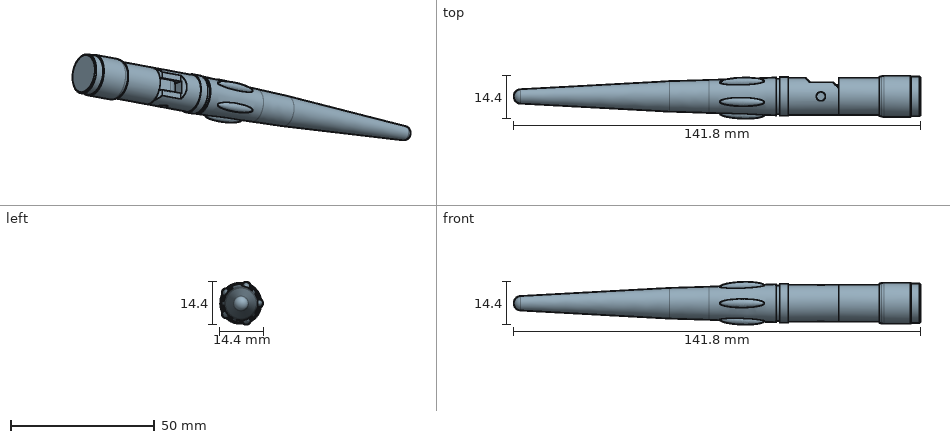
import cadquery as cq
import math

TOTAL_LENGTH = 141.8

TIP_LENGTH = 2.3
TIP_RADIUS = 2.5
TAPER_BREAK_X = 54.3
TAPER_BREAK_RADIUS = 5.4
GRIP_START_X = 68.0
GRIP_START_RADIUS = 5.8
GRIP_END_RADIUS = 6.7

GROOVE_X = 91.5
GROOVE_RADIUS = 6.2
COLLAR_X = 92.8
COLLAR_RADIUS = 6.8
BARREL_X = 95.7
BARREL_RADIUS = 6.5

FLUTE_COUNT = 5
FLUTE_START_X = 71.9
FLUTE_END_X = 87.4
FLUTE_DEPTH = 1.5

HINGE_PLANE_X = 113.3
PIN_X = 107.1
PIN_RADIUS = 1.5
PIN_LENGTH = 12.8
TONGUE_RADIUS = 4.1
TONGUE_THICKNESS = 4.3

RELIEF_START_X = 101.7
RELIEF_Y = 5.0
RELIEF_DROP_X = 111.3

CAP_STEP_X = 127.4
CAP_STEP_RADIUS = 6.8
CAP_SHOULDER_X = 128.2
CAP_SHOULDER_RADIUS = 7.1
CAP_X = 129.0
CAP_RADIUS = 7.2
END_BAND_X = 138.5
END_BAND_STEP = 0.3
END_BAND_RADIUS = 7.0
END_CHAMFER = 0.4


def grip_radius(x):
    """Radius of the conical grip at a position along the axis."""
    fraction = (x - GRIP_START_X) / (GROOVE_X - GRIP_START_X)
    return GRIP_START_RADIUS + fraction * (GRIP_END_RADIUS - GRIP_START_RADIUS)


def turned(profile):
    """Revolve a closed half profile in the XZ plane about the X axis."""
    return profile.close().revolve(360, (0, 0, 0), (1, 0, 0))


def handle_blank():
    sphere_radius = (TIP_LENGTH**2 + TIP_RADIUS**2) / (2 * TIP_LENGTH)
    half_angle = math.acos(1 - TIP_LENGTH / sphere_radius) / 2
    tip_middle = (sphere_radius * (1 - math.cos(half_angle)), sphere_radius * math.sin(half_angle))
    return turned(
        cq.Workplane("XZ")
        .moveTo(0, 0)
        .threePointArc(tip_middle, (TIP_LENGTH, TIP_RADIUS))
        .lineTo(TAPER_BREAK_X, TAPER_BREAK_RADIUS)
        .lineTo(GRIP_START_X, GRIP_START_RADIUS)
        .lineTo(GROOVE_X, GRIP_END_RADIUS)
        .lineTo(GROOVE_X, GROOVE_RADIUS)
        .lineTo(COLLAR_X, GROOVE_RADIUS)
        .lineTo(COLLAR_X, COLLAR_RADIUS)
        .lineTo(BARREL_X, COLLAR_RADIUS)
        .lineTo(BARREL_X, BARREL_RADIUS)
        .lineTo(HINGE_PLANE_X, BARREL_RADIUS)
        .lineTo(HINGE_PLANE_X, 0)
    )


def flute_cutter():
    """Slender ellipsoid whose long axis joins two points on the -Y side of the grip surface."""
    start = cq.Vector(FLUTE_START_X, -grip_radius(FLUTE_START_X), 0)
    end = cq.Vector(FLUTE_END_X, -grip_radius(FLUTE_END_X), 0)
    half_length = (end - start).Length / 2
    plane = cq.Plane(origin=(start + end) / 2, xDir=end - start, normal=(0, 0, 1))
    return (
        cq.Workplane(plane)
        .ellipseArc(half_length, FLUTE_DEPTH, 0, 180, startAtCurrent=False)
        .close()
        .revolve(360, (0, 0, 0), (1, 0, 0))
    )


def fork_relief():
    """Prism that clears the +Y side of the fork, with 45 degree ends."""
    entry_slope = BARREL_RADIUS - RELIEF_Y
    exit_drop = HINGE_PLANE_X - RELIEF_DROP_X
    return (
        cq.Workplane("XY")
        .polyline([
            (RELIEF_START_X, BARREL_RADIUS),
            (RELIEF_START_X + entry_slope, RELIEF_Y),
            (RELIEF_DROP_X, RELIEF_Y),
            (HINGE_PLANE_X, RELIEF_Y - exit_drop),
            (HINGE_PLANE_X, BARREL_RADIUS),
        ])
        .close()
        .extrude(BARREL_RADIUS, both=True)
    )


def hinge_tongue():
    """Flat tongue with a round end about the pin axis."""
    return (
        cq.Workplane("XY")
        .moveTo(HINGE_PLANE_X, -TONGUE_RADIUS)
        .lineTo(PIN_X, -TONGUE_RADIUS)
        .threePointArc((PIN_X - TONGUE_RADIUS, 0), (PIN_X, TONGUE_RADIUS))
        .lineTo(HINGE_PLANE_X, TONGUE_RADIUS)
        .close()
        .extrude(TONGUE_THICKNESS / 2, both=True)
    )


def hinge_pin():
    """Pin through the tongue, its flat ends just inside the barrel surface."""
    return cq.Workplane("XY").center(PIN_X, 0).circle(PIN_RADIUS).extrude(PIN_LENGTH / 2, both=True)


def slot_opening():
    """Space above the tongue that opens the fork slot to the +Y side."""
    slot_start_x = PIN_X - TONGUE_RADIUS
    slot_length = HINGE_PLANE_X - slot_start_x
    return (
        cq.Workplane("XY", origin=(slot_start_x, 0, 0))
        .box(slot_length, BARREL_RADIUS, TONGUE_THICKNESS, centered=(False, False, True))
    )


def make_handle():
    handle = handle_blank()
    for index in range(FLUTE_COUNT):
        angle = index * 360 / FLUTE_COUNT
        handle = handle.cut(flute_cutter().rotate((0, 0, 0), (1, 0, 0), angle))
    pin_hole = cq.Workplane("XY").center(PIN_X, 0).circle(PIN_RADIUS).extrude(BARREL_RADIUS, both=True)
    fork_cuts = fork_relief().union(hinge_tongue()).union(slot_opening()).union(pin_hole)
    return handle.cut(fork_cuts)


def make_tail():
    tail = turned(
        cq.Workplane("XZ")
        .moveTo(HINGE_PLANE_X, 0)
        .lineTo(HINGE_PLANE_X, BARREL_RADIUS)
        .lineTo(CAP_STEP_X, BARREL_RADIUS)
        .lineTo(CAP_STEP_X, CAP_STEP_RADIUS)
        .lineTo(CAP_SHOULDER_X, CAP_SHOULDER_RADIUS)
        .lineTo(CAP_X, CAP_RADIUS)
        .lineTo(END_BAND_X - END_BAND_STEP, CAP_RADIUS)
        .lineTo(END_BAND_X, END_BAND_RADIUS)
        .lineTo(TOTAL_LENGTH - END_CHAMFER, END_BAND_RADIUS)
        .lineTo(TOTAL_LENGTH, END_BAND_RADIUS - END_CHAMFER)
        .lineTo(TOTAL_LENGTH, 0)
    )
    return tail.union(hinge_tongue()).union(hinge_pin())


handle = make_handle()
tail = make_tail()

result = cq.Compound.makeCompound([handle.solids().val(), tail.solids().val()])